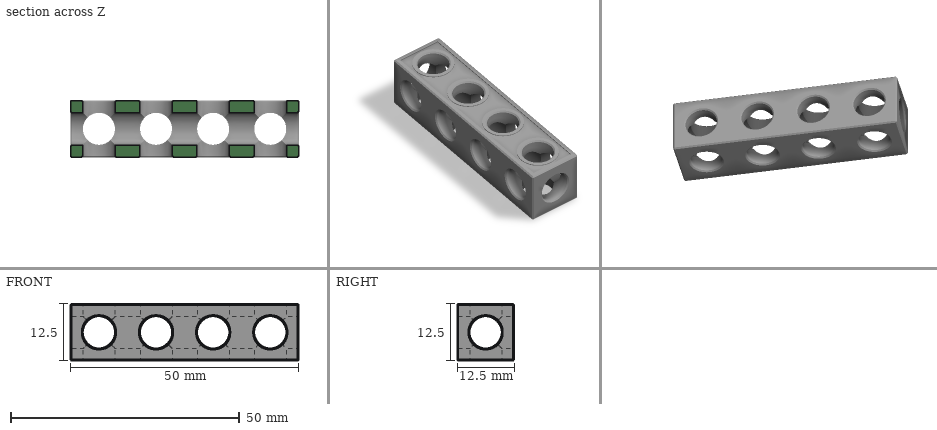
import cadquery as cq

pitch = 12.5
cell_count = 4
length = cell_count * pitch
half_width = pitch / 2

edge_chamfer = 0.3

hole_diameter = 7.0
hole_chamfer = 0.3

rim_width = 1.1
recess_depth = 0.2
ring_diameter = 9.2

cell_centers = [(i - (cell_count - 1) / 2) * pitch for i in range(cell_count)]


def make_body():
    return cq.Workplane("XY").box(length, pitch, pitch).edges().chamfer(edge_chamfer)


def make_recess():
    recess = (
        cq.Workplane("XY", origin=(0, 0, half_width - recess_depth))
        .rect(length - 2 * rim_width, pitch - 2 * rim_width)
        .extrude(recess_depth)
    )
    rings = (
        cq.Workplane("XY", origin=(0, 0, half_width - recess_depth))
        .pushPoints([(x, 0) for x in cell_centers])
        .circle(ring_diameter / 2)
        .extrude(recess_depth)
    )
    return recess.cut(rings)


def make_hole(center, axis, depth):
    """Through hole with both mouths chamfered, as a solid of revolution about the axis."""
    radius = hole_diameter / 2
    mouth_radius = radius + hole_chamfer
    half_depth = depth / 2
    profile_plane = {"X": "YX", "Y": "XY", "Z": "XZ"}[axis]
    return (
        cq.Workplane(profile_plane, origin=center)
        .moveTo(0, -half_depth)
        .lineTo(mouth_radius, -half_depth)
        .lineTo(radius, -half_depth + hole_chamfer)
        .lineTo(radius, half_depth - hole_chamfer)
        .lineTo(mouth_radius, half_depth)
        .lineTo(0, half_depth)
        .close()
        .revolve(360, (0, 0), (0, 1))
    )


result = make_body().cut(make_recess())
for x in cell_centers:
    for axis in ("Y", "Z"):
        result = result.cut(make_hole((x, 0, 0), axis, pitch))
result = result.cut(make_hole((0, 0, 0), "X", length))